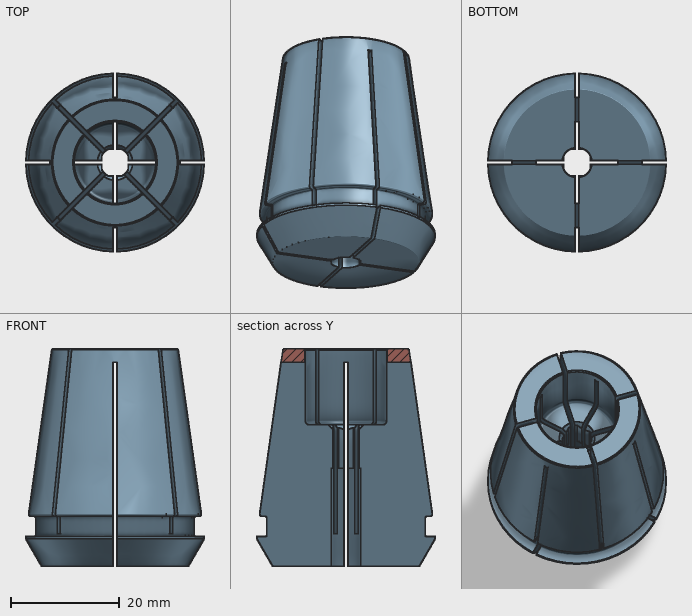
import cadquery as cq
import math

length = 40.0

taper_half_angle = 8.0
taper_base_radius = 15.95
taper_base_fillet = 0.4
top_chamfer = 0.2

groove_radius = 14.6
groove_top_z = 9.2
groove_bottom_z = 5.5
groove_fillet = 0.25
flange_radius = 16.4
flange_bottom_z = 5.05
nose_half_angle = 30.0
nose_end_fillet = 0.1

shank_radius = 2.75
shank_depth = 18.0
square_side = 4.85
square_top_z = 26.0
square_entry_radius = 3.25
bore_radius = 7.5
bore_floor_fillet = 0.8
bore_mouth_chamfer = 0.25

nose_slot_width = 0.7
top_slot_width = 0.8
nose_slot_end_z = 37.5
top_slot_floor_z = 6.0
slot_length = 3 * flange_radius


def ring_at(body, radius, z):
    """Circular edge of the body with a given radius and height."""
    tolerance = 0.01
    return body.edges("%CIRCLE").filter(
        lambda edge: abs(edge.radius() - radius) < tolerance and abs(edge.Center().z - z) < tolerance
    )


def make_body():
    """Revolve the outer profile about Z."""
    top_radius = taper_base_radius - (length - groove_top_z) * math.tan(math.radians(taper_half_angle))
    nose_radius = flange_radius - flange_bottom_z * math.tan(math.radians(nose_half_angle))
    body = (
        cq.Workplane("XZ")
        .lineTo(nose_radius, 0)
        .lineTo(flange_radius, flange_bottom_z)
        .lineTo(flange_radius, groove_bottom_z)
        .lineTo(groove_radius, groove_bottom_z)
        .lineTo(groove_radius, groove_top_z)
        .lineTo(taper_base_radius, groove_top_z)
        .lineTo(top_radius, length)
        .lineTo(0, length)
        .close()
        .revolve(360, (0, 0, 0), (0, 1, 0))
    )
    body = body.faces(">Z").edges().chamfer(top_chamfer)
    body = body.faces("<Z").edges().fillet(nose_end_fillet)
    for corner_z in (groove_bottom_z, groove_top_z):
        body = ring_at(body, groove_radius, corner_z).fillet(groove_fillet)
    return ring_at(body, taper_base_radius, groove_top_z).fillet(taper_base_fillet)


def make_cone(small_radius, large_radius, top_z):
    """45 degree cone frustum that widens upward and ends at top_z."""
    height = large_radius - small_radius
    base = cq.Vector(0, 0, top_z - height)
    return cq.Workplane(cq.Solid.makeCone(small_radius, large_radius, height, pnt=base))


def make_bore():
    """Hollow of the part: shank hole, square drive with a conical entry, clearance bore."""
    shank_hole = cq.Workplane("XY").circle(shank_radius).extrude(shank_depth)
    square = cq.Workplane("XY").rect(square_side, square_side).extrude(square_top_z)
    rounding = cq.Workplane("XY").circle(shank_radius).extrude(square_top_z)
    drive = square.intersect(rounding)
    entry = make_cone(square_side / 2, square_entry_radius, square_top_z)
    clearance = (
        cq.Workplane("XY")
        .workplane(offset=square_top_z)
        .circle(bore_radius)
        .extrude(length - square_top_z)
        .faces("<Z")
        .edges()
        .fillet(bore_floor_fillet)
    )
    mouth = make_cone(bore_radius, bore_radius + bore_mouth_chamfer, length)
    return shank_hole.union(drive).union(entry).union(clearance).union(mouth)


def make_slot(width, bottom_z, top_z, angle):
    """Slot across the full diameter between two heights, turned about Z."""
    return (
        cq.Workplane("XY")
        .workplane(offset=bottom_z)
        .rect(slot_length, width)
        .extrude(top_z - bottom_z)
        .rotate((0, 0, 0), (0, 0, 1), angle)
    )


result = make_body().cut(make_bore())
for slot_angle in (0, 90):
    result = result.cut(make_slot(nose_slot_width, 0, nose_slot_end_z, slot_angle))
    result = result.cut(make_slot(top_slot_width, top_slot_floor_z, length, slot_angle + 45))